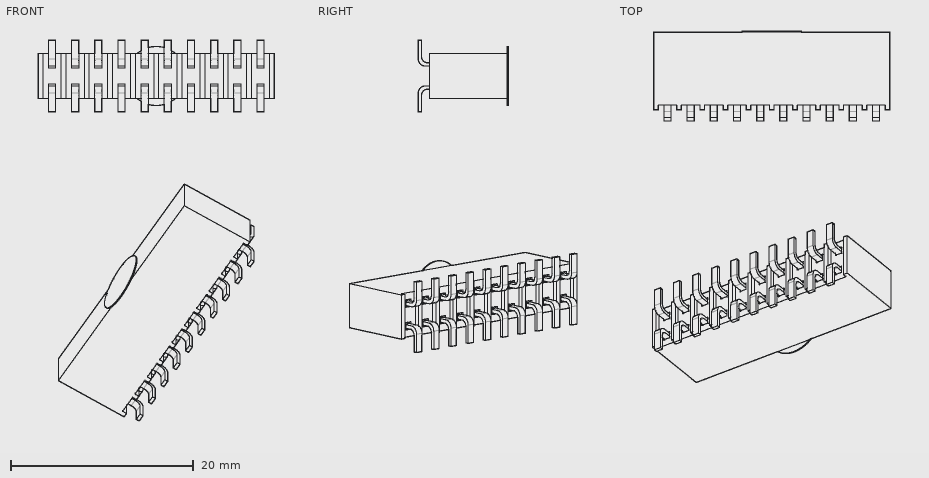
import cadquery as cq

LENGTH = 25.9
TOTAL_DEPTH = 9.9
TOTAL_HEIGHT = 7.88
HOUSING_HEIGHT = 4.95

PAD_DIAMETER = 6.5
PAD_THICKNESS = 0.13

PINS_PER_ROW = 10
PIN_PITCH = 2.55
ROW_SPACING = 2.55

PIN_WIDTH = 0.8
PIN_THICKNESS = 0.4
INNER_BEND_RADIUS = 0.65
OUTER_BEND_RADIUS = 0.8

RIB_FRONT = 1.25
SLOT_DEPTH = 0.52
SOCKET_DEPTH = 0.25

HOUSING_BACK = TOTAL_DEPTH - PAD_THICKNESS
SLOT_FLOOR = RIB_FRONT + SLOT_DEPTH
SOCKET_FLOOR = SLOT_FLOOR + SOCKET_DEPTH
RIB_WIDTH = LENGTH - PINS_PER_ROW * PIN_PITCH
SLOT_WIDTH = PIN_PITCH - RIB_WIDTH
PIN_COLUMNS = [(i - (PINS_PER_ROW - 1) / 2) * PIN_PITCH for i in range(PINS_PER_ROW)]
ROW_SIDES = (1, -1)


def make_block(width, height, front, back, x=0.0, z=0.0):
    """Box centred on x and z that spans front to back along Y."""
    return (
        cq.Workplane("XY")
        .box(width, back - front, height)
        .translate((x, (front + back) / 2, z))
    )


def make_pin(x, side):
    """Pin that leaves the socket along -Y and bends up (side 1) or down (side -1)."""
    outer_z = ROW_SPACING / 2 - PIN_THICKNESS / 2
    inner_z = outer_z + PIN_THICKNESS
    tip_z = TOTAL_HEIGHT / 2
    pin = (
        cq.Workplane("YZ")
        .moveTo(SOCKET_FLOOR, outer_z)
        .lineTo(OUTER_BEND_RADIUS, outer_z)
        .radiusArc((0, outer_z + OUTER_BEND_RADIUS), OUTER_BEND_RADIUS)
        .lineTo(0, tip_z)
        .lineTo(PIN_THICKNESS, tip_z)
        .lineTo(PIN_THICKNESS, inner_z + INNER_BEND_RADIUS)
        .radiusArc((PIN_THICKNESS + INNER_BEND_RADIUS, inner_z), -INNER_BEND_RADIUS)
        .lineTo(SOCKET_FLOOR, inner_z)
        .close()
        .extrude(PIN_WIDTH / 2, both=True)
    )
    if side < 0:
        pin = pin.mirror("XY")
    return pin.translate((x, 0, 0))


def make_housing():
    """Block with a ribbed front, square pin sockets and two rows of bent pins."""
    housing = make_block(LENGTH, HOUSING_HEIGHT, RIB_FRONT, HOUSING_BACK)
    for x in PIN_COLUMNS:
        housing = housing.cut(make_block(SLOT_WIDTH, HOUSING_HEIGHT, RIB_FRONT, SLOT_FLOOR, x))
        for side in ROW_SIDES:
            socket_z = side * ROW_SPACING / 2
            housing = housing.cut(
                make_block(PIN_WIDTH, PIN_WIDTH, SLOT_FLOOR, SOCKET_FLOOR, x, socket_z)
            )
            housing = housing.union(make_pin(x, side))
    return housing


def make_pad():
    """Thin round pad that lies flat on the back of the housing."""
    return (
        cq.Workplane("XZ", origin=(0, HOUSING_BACK, 0))
        .circle(PAD_DIAMETER / 2)
        .extrude(-PAD_THICKNESS)
    )


housing = make_housing()
pad = make_pad()

result = cq.Compound.makeCompound([housing.val(), pad.val()])